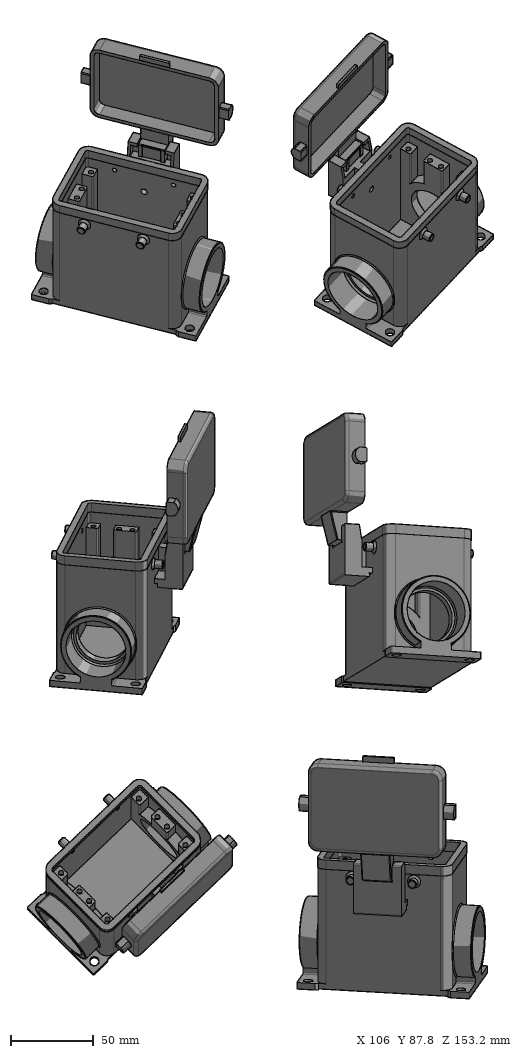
import cadquery as cq

body_length = 82.5
body_width = 55.7
body_corner = 6.1
body_bottom = 0.6
housing_height = 82.1
rim_height = 6.0
rim_step = 0.2
wall = 4.0
floor_top = 4.1
cavity_corner = 1.5

cavity_length = body_length - 2 * wall
cavity_width = body_width - 2 * wall
wall_outer_y = body_width / 2

end_x = 53.0
entry_z = 27.5
collar_radius = 21.9
collar_edge = 0.5
collar_root = 0.8
socket_radius = 18.4
socket_floor_x = 35.8
socket_floor_chamfer = 0.8
socket_floor_taper = 1.5
bore_radius = 16.0
neck_width = 19.3
neck_fillet = 0.8
boss_length = 7.2

foot_width = 57.3
foot_height = 4.1
foot_corner = 0.5
foot_inner_x = 41.7
foot_blend_x = 39.8
foot_hole_x = 47.0
foot_hole_y = 23.3
foot_hole_radius = 2.8

corner_post_width = 7.4
corner_post_top = 68.9
corner_post_hole_y = 20.0
middle_post_width = 14.2
middle_post_top = 68.9
middle_post_hole_y = 4.1
post_hole_x = 32.8
post_hole_radius = 1.5
post_hole_depth = 12.3
post_hole_point = 0.9
post_corner = 0.9

peg_x = 19.0
peg_z = 71.7
peg_radius = 2.6
peg_tip = 34.3
peg_chamfer = 0.5
peg_base_radius = 4.0
peg_base_height = 1.4
peg_core_radius = 1.4
bracket_hole_radius = 2.0
bracket_hole_z = 60.0

bracket_width = 29.7
bracket_top = 86.0
bracket_bottom = 54.4
bracket_back = 45.3
bracket_front = 34.3
bracket_top_front = 36.0
bracket_slope_z = 75.7
bracket_foot_top = 60.0
bracket_notch_depth = 1.8
bracket_notch_top = 56.7
bracket_edge = 0.8
web_width = 6.1
window_width = 26.0
window_top = 83.8
window_back = 39.8

lid_length = 82.5
lid_front = 41.2
lid_back = 53.5
lid_bottom = 94.5
lid_top = 149.6
lid_corner = 6.1
lid_wall = 2.5
lid_back_wall = 3.0
lid_edge = 2.1
total_height = 153.2
tab_width = 19.3
tab_front = 41.4
tab_back = 42.9
tab_corner = 0.6
lug_tip_x = 47.6
lug_height = 8.9
lug_front = 42.1
lug_edge = 0.6
lug_back = 49.5
lug_flat = 4.7
arm_width = 18.0
arm_front = 42.0
arm_bottom = 77.0
arm_bottom_back = 48.2
arm_top_back = 52.7
arm_edge = 0.6
arm_root_flare = 0.6
hook_top = 85.5
hook_front = 36.5
hook_width = 16.8
hook_lip = 0.9
hook_edge = 0.6
hook_recess_width = 12.0
hook_recess_depth = 0.6

lid_middle_z = (lid_top + lid_bottom) / 2
ENDS = (-1, 1)


def block(x0, x1, y0, y1, z0, z1):
    """Box between two opposite corners."""
    return cq.Workplane("XY").box(x1 - x0, y1 - y0, z1 - z0, centered=False).translate((x0, y0, z0))


def x_cylinder(radius, x0, x1, y, z):
    """Cylinder along X from x0 to x1."""
    return cq.Workplane("YZ", origin=(x0, y, z)).circle(radius).extrude(x1 - x0)


def mirror_ends(shape):
    """The shape together with its mirror image at the other X end."""
    return shape.union(shape.mirror("YZ"))


def make_shell():
    lower = (
        cq.Workplane("XY", origin=(0, 0, body_bottom))
        .rect(body_length, body_width)
        .extrude(housing_height - body_bottom)
        .edges("|Z").fillet(body_corner)
    )
    rim = (
        cq.Workplane("XY", origin=(0, 0, housing_height - rim_height))
        .rect(body_length + 2 * rim_step, body_width + 2 * rim_step)
        .extrude(rim_height)
        .edges("|Z").fillet(body_corner + rim_step)
    )
    return lower.union(rim)


def make_cavity():
    lower = (
        cq.Workplane("XY", origin=(0, 0, floor_top))
        .rect(cavity_length, cavity_width)
        .extrude(housing_height - floor_top)
        .edges("|Z").fillet(cavity_corner)
    )
    inside_rim = (
        cq.Workplane("XY", origin=(0, 0, housing_height - rim_height))
        .rect(cavity_length + 2 * rim_step, cavity_width + 2 * rim_step)
        .extrude(rim_height)
        .edges("|Z").fillet(cavity_corner + rim_step)
    )
    return lower.union(inside_rim)


def make_entry():
    """Collar, neck and foot at the +X end."""
    wall_x = body_length / 2
    inside_x = wall_x - wall
    collar = x_cylinder(collar_radius, inside_x, end_x, 0, entry_z).faces(">X").chamfer(collar_edge)
    root = (
        cq.Workplane("YZ", origin=(wall_x, 0, entry_z))
        .circle(collar_radius + collar_root)
        .workplane(offset=collar_root).circle(collar_radius)
        .loft()
    )
    neck = block(inside_x, end_x, -neck_width / 2, neck_width / 2, body_bottom, entry_z)
    half = foot_width / 2
    foot = (
        cq.Workplane("XY")
        .polyline([
            (foot_blend_x, -wall_outer_y), (foot_inner_x, -half), (end_x, -half),
            (end_x, half), (foot_inner_x, half), (foot_blend_x, wall_outer_y),
        ])
        .close().extrude(foot_height)
        .edges("|Z and >X").fillet(foot_corner)
    )
    holes = (
        cq.Workplane("XY")
        .pushPoints([(foot_hole_x, side * foot_hole_y) for side in ENDS])
        .circle(foot_hole_radius).extrude(foot_height)
    )
    corner_fill = block(
        wall_x - body_corner, foot_blend_x, -wall_outer_y, wall_outer_y, body_bottom, foot_height
    )
    half_neck = neck_width / 2
    foot = foot.union(corner_fill).cut(holes).union(neck)
    neck_corners = cq.selectors.BoxSelector(
        (inside_x, -half_neck - neck_fillet, foot_height - neck_fillet),
        (end_x, half_neck + neck_fillet, foot_height + neck_fillet),
    )
    foot = foot.edges(neck_corners).edges("|X").fillet(neck_fillet)
    return collar.union(root).union(foot)


def make_entry_bore():
    """Wide socket in the collar and the narrower bore through the wall and inner boss, at +X."""
    wall_x = body_length / 2
    socket = (
        x_cylinder(socket_radius, socket_floor_x, end_x, 0, entry_z)
        .faces("<X").chamfer(socket_floor_taper, socket_floor_chamfer)
    )
    bore = x_cylinder(bore_radius, wall_x - wall - boss_length, end_x, 0, entry_z)
    return socket.union(bore)


def make_inner_boss():
    """Boss around the bore and the screw posts beside it, at the +X end of the cavity."""
    wall_x = cavity_length / 2
    front_x = wall_x - boss_length
    shape = x_cylinder(collar_radius, front_x, wall_x, 0, entry_z)
    shape = shape.union(block(front_x, wall_x, -collar_radius, collar_radius, floor_top, entry_z))
    middle = block(front_x, wall_x, -middle_post_width / 2, middle_post_width / 2, entry_z, middle_post_top)
    shape = shape.union(middle.edges("|Z and <X").fillet(post_corner))
    half = cavity_width / 2
    for side in ENDS:
        y0, y1 = sorted((side * half, side * (half - corner_post_width)))
        inner_edge = "|Z and <X and " + ("<Y" if side > 0 else ">Y")
        post = block(front_x, wall_x, y0, y1, floor_top, corner_post_top)
        shape = shape.union(post.edges(inner_edge).fillet(post_corner))
    holes = screw_holes(corner_post_hole_y, corner_post_top)
    return shape.cut(holes).cut(screw_holes(middle_post_hole_y, middle_post_top))


def screw_holes(y, top):
    """Pair of blind holes at +y and -y, each ending in a drill point."""
    hole = (
        cq.Workplane("XZ")
        .polyline([
            (0, top), (post_hole_radius, top), (post_hole_radius, top - post_hole_depth),
            (0, top - post_hole_depth - post_hole_point),
        ])
        .close().revolve(360, (0, 0, 0), (0, 1, 0))
    )
    return hole.translate((post_hole_x, y, 0)).union(hole.translate((post_hole_x, -y, 0)))


def make_peg():
    """Peg with a conical base, pointing along +Y from the long wall."""
    start = wall_outer_y - wall / 2
    length = peg_tip - start
    profile = [
        (0, 0), (peg_base_radius, 0), (peg_base_radius, wall_outer_y - start),
        (peg_radius, wall_outer_y - start + peg_base_height), (peg_radius, length - peg_chamfer),
        (peg_radius - peg_chamfer, length), (0, length),
    ]
    return (
        cq.Workplane("XY").polyline(profile).close()
        .revolve(360, (0, 0, 0), (0, 1, 0))
        .translate((0, start, peg_z))
    )


def make_housing():
    housing = make_shell().cut(make_cavity())
    housing = housing.union(mirror_ends(make_entry())).union(mirror_ends(make_inner_boss()))
    housing = housing.cut(mirror_ends(make_entry_bore()))
    core = (
        cq.Workplane("XZ", origin=(0, wall_outer_y, peg_z))
        .pushPoints([(side * peg_x, 0) for side in ENDS])
        .circle(peg_core_radius).extrude(body_width)
    )
    for side in ENDS:
        peg = make_peg().translate((side * peg_x, 0, 0))
        housing = housing.union(peg).union(peg.mirror("XZ"))
    housing = housing.cut(core)
    bracket_hole = (
        cq.Workplane("XZ", origin=(0, wall_outer_y, bracket_hole_z))
        .circle(bracket_hole_radius).extrude(wall)
    )
    return housing.cut(bracket_hole)


def make_bracket():
    side_profile = [
        (wall_outer_y, bracket_notch_top), (wall_outer_y + bracket_notch_depth, bracket_notch_top),
        (wall_outer_y + bracket_notch_depth, bracket_bottom), (bracket_back, bracket_bottom),
        (bracket_back, bracket_top), (bracket_top_front, bracket_top),
        (bracket_front, bracket_slope_z), (bracket_front, bracket_foot_top),
        (wall_outer_y, bracket_foot_top),
    ]
    half = bracket_width / 2
    bracket = cq.Workplane("YZ", origin=(-half, 0, 0)).polyline(side_profile).close().extrude(bracket_width)
    bracket = bracket.faces(">Y").edges("|X").fillet(bracket_edge)
    web = block(-web_width / 2, web_width / 2, wall_outer_y, bracket_front, bracket_foot_top, bracket_slope_z)
    window = block(-window_width / 2, window_width / 2, 0, window_back, bracket_slope_z, window_top)
    slot = block(-arm_width / 2, arm_width / 2, 0, bracket_back, bracket_slope_z, bracket_top)
    return bracket.union(web).cut(window).cut(slot)


def make_lid():
    half = lid_length / 2
    shell = (
        block(-half, half, lid_front, lid_back, lid_bottom, lid_top)
        .edges("|Y").fillet(lid_corner)
        .faces(">Y").edges().fillet(lid_edge)
    )
    cavity = block(
        -half + lid_wall, half - lid_wall, lid_front, lid_back - lid_back_wall,
        lid_bottom + lid_wall, lid_top - lid_wall,
    ).edges("|Y").fillet(lid_corner - lid_wall)
    lid = shell.cut(cavity)
    tab = (
        block(-tab_width / 2, tab_width / 2, tab_front, tab_back, lid_top, total_height)
        .edges("|Y and >Z").fillet(tab_corner)
    )
    return lid.union(tab).union(mirror_ends(make_lug())).union(make_arm())


def make_lug():
    """Latch lug at the +X side: flat towards the front, round at the back."""
    half = lug_height / 2
    return (
        cq.Workplane("YZ", origin=(lid_length / 2, 0, lid_middle_z))
        .moveTo(lug_front, -half)
        .lineTo(lug_front + lug_flat, -half)
        .threePointArc((lug_back, 0), (lug_front + lug_flat, half))
        .lineTo(lug_front, half)
        .close().extrude(lug_tip_x - lid_length / 2)
        .edges("|X and <Y").chamfer(lug_edge)
    )


def make_arm():
    """Hinge arm below the lid, ending in a hook that sits in the slot of the bracket."""
    root_z = lid_bottom + lid_wall
    profile = [
        (arm_front, root_z), (lid_back - lid_back_wall, root_z), (arm_top_back, lid_bottom),
        (arm_bottom_back, arm_bottom), (arm_front, arm_bottom),
    ]
    half = arm_width / 2
    arm = cq.Workplane("YZ", origin=(-half, 0, 0)).polyline(profile).close().extrude(arm_width)
    sloping_back = cq.selectors.BoxSelector(
        (-half - arm_edge, arm_bottom_back, arm_bottom), (half + arm_edge, arm_top_back, lid_bottom)
    )
    arm = arm.edges(sloping_back).edges("not |X").chamfer(arm_edge)
    flare = (
        cq.Workplane("XZ", origin=(0, lid_back - lid_edge, 0))
        .polyline([
            (-half - arm_root_flare, lid_bottom), (half + arm_root_flare, lid_bottom),
            (half, lid_bottom - arm_root_flare), (-half, lid_bottom - arm_root_flare),
        ])
        .close().extrude(lid_back - lid_edge - arm_front)
    )
    return arm.union(flare).union(make_hook())


def make_hook():
    """Block on the front of the arm, hollowed in the middle below a chamfered lip."""
    half = hook_width / 2
    recess_half = hook_recess_width / 2
    hook = block(-half, half, hook_front, arm_front, bracket_slope_z, hook_top)
    hook = hook.edges("|X and <Y and >Z").chamfer(hook_edge)
    recess = block(
        -recess_half, recess_half, hook_front, hook_front + hook_recess_depth,
        bracket_slope_z, hook_top - hook_lip,
    )
    return hook.cut(recess)


housing = make_housing()
bracket = make_bracket()
lid = make_lid()

result = cq.Compound.makeCompound([housing.solids().val(), bracket.solids().val(), lid.solids().val()])